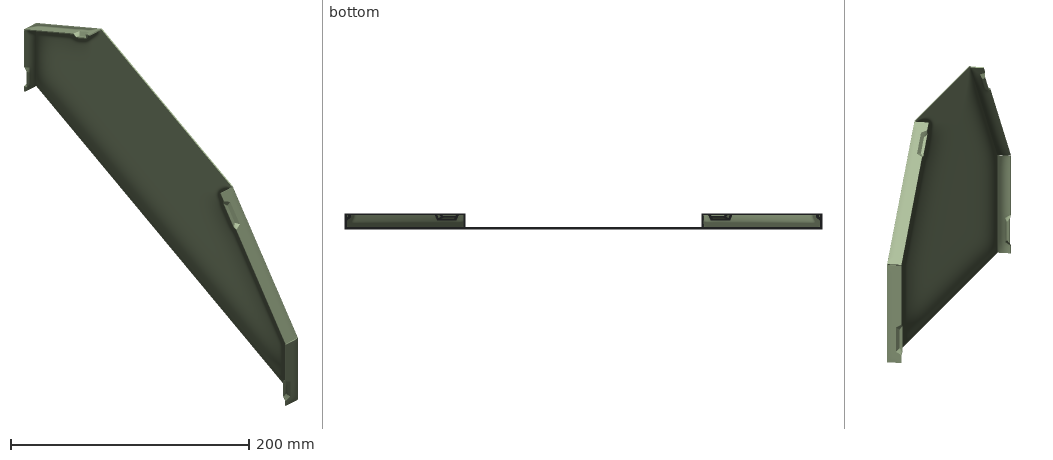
import cadquery as cq
import math

width = 400.0
height = 185.0
depth = 12.5
sheet = 1.0
bend_radius = 0.5
flange_gap = 1.0
corner_run = 100.0

tab_length = 26.5
tab_depth = 5.0
tab_corner = 3.0
tab_offset = 3.0
tab_draft = 2.5
side_tab_height = 20.0
slant_tab_distance = 21.5

half_width = width / 2
top_half_width = half_width - corner_run
shoulder_height = height - corner_run
slant_length = corner_run * math.sqrt(2)
diagonal = math.sqrt(0.5)


def xz_prism(points, y_length):
    """Extrude an XZ outline from the front plane (Y = 0) toward +Y."""
    return cq.Workplane("XZ").polyline(points).close().extrude(-y_length)


def make_panel():
    outline = [
        (-half_width, 0),
        (-half_width, shoulder_height),
        (-top_half_width, height),
        (top_half_width, height),
        (half_width, shoulder_height),
        (half_width, 0),
    ]
    return xz_prism(outline, sheet).translate((0, depth - sheet, 0))


def make_left_flanges():
    """Side and slanted flanges, separated by a narrow gap at the shoulder."""
    inner_x = -half_width + sheet
    inner_shoulder = shoulder_height - sheet * math.tan(math.radians(22.5))
    end_x = -top_half_width - flange_gap * diagonal
    end_z = height - flange_gap * diagonal
    side = [
        (-half_width, 0),
        (-half_width, shoulder_height - flange_gap),
        (inner_x, shoulder_height - flange_gap),
        (inner_x, 0),
    ]
    slant = [
        (-half_width, shoulder_height),
        (end_x, end_z),
        (end_x + sheet * diagonal, end_z - sheet * diagonal),
        (inner_x, inner_shoulder),
    ]
    return xz_prism(side, depth).union(xz_prism(slant, depth))


def tab_frustum(plane, start):
    """Tapered block rising from the given level by the tab offset.

    Plane x runs along the flange, y toward the panel, and z inward.
    """
    def footprint(level):
        shrink = tab_draft * level / tab_offset
        half = tab_length / 2 - shrink
        reach = tab_depth - shrink
        return [
            (-half, 0),
            (-half + tab_corner, reach),
            (half - tab_corner, reach),
            (half, 0),
        ]

    return (
        cq.Workplane(plane)
        .workplane(offset=start)
        .polyline(footprint(0)).close()
        .workplane(offset=tab_offset)
        .polyline(footprint(tab_offset)).close()
        .loft(ruled=True)
    )


def add_tab(flanges, center, along, inward):
    """Press one tab inward, leaving a hollow behind it of sheet thickness."""
    plane = cq.Plane(origin=(center[0], 0, center[1]), xDir=along, normal=inward)
    block = tab_frustum(plane, sheet)
    hollow = tab_frustum(plane, 0)
    return flanges.union(block).cut(hollow)


left_flanges = make_left_flanges()
left_flanges = add_tab(
    left_flanges,
    center=(-half_width, side_tab_height),
    along=(0, 0, -1),
    inward=(1, 0, 0),
)
slant_position = slant_length - slant_tab_distance
left_flanges = add_tab(
    left_flanges,
    center=(
        -half_width + slant_position * diagonal,
        shoulder_height + slant_position * diagonal,
    ),
    along=(-1, 0, -1),
    inward=(1, 0, -1),
)
right_flanges = left_flanges.mirror("YZ")

cover = make_panel().union(left_flanges).union(right_flanges).clean()

result = cover.faces(">Y").edges("not |X").fillet(bend_radius)